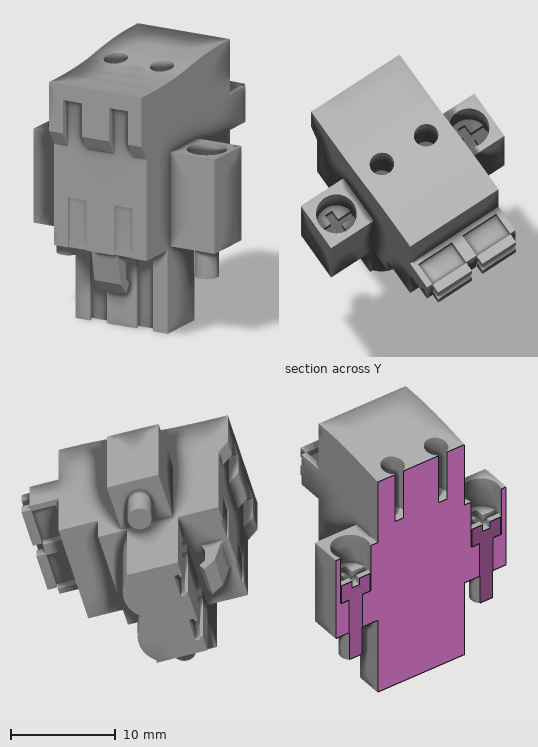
import cadquery as cq
import math


pole_pitch = 5.1
pole_centers = [-pole_pitch / 2, pole_pitch / 2]
body_width = 2 * pole_pitch

total_height = 26.25
body_bottom = 8.35
body_back = 15.85
brow_overhang = 0.95
brow_bottom = 19.97
brow_chamfer_bottom = 18.45
back_step_y = 11.9
back_step_z = 11.34

crown_flat_y = 15.45
slope_back_y = 8.85
slope_front_y = 6.11
slope_angle = math.radians(9.5)
crown_drop = (crown_flat_y - slope_back_y) * math.tan(slope_angle / 2)
slope_drop = (slope_back_y - slope_front_y) * math.tan(slope_angle)
slope_back_z = total_height - crown_drop
slope_front_z = slope_back_z - slope_drop
front_top_z = 24.88

tab_back = 18.7
tab_bottom = 17.2
tab_top = 20.75
button_bay_front = 16.3

brow_slot_width = 2.1
brow_slot_top = 23.3
label_recess_width = 2.02
label_recess_top = 13.33
label_recess_depth = 0.15

wire_hole_diameter = 2.34
wire_hole_y = 7.3
wire_hole_depth = 5.25

plug_front = 4.01
plug_flat_back = 9.05
plug_lobe_rise = 1.05
plug_lobe_width = 4.45
groove_lip_depth = 0.3
groove_depth = 0.8
groove_undercut_width = 2.35
groove_width = 1.84
groove_neck_width = 1.29
groove_neck_bottom = 7.03

latch_width = 2.89
latch_outline = [
    (0.5, body_bottom),
    (0.75, 8.08),
    (1.42, 5.05),
    (2.47, 3.83),
    (2.95, 4.8),
    (2.4, 5.38),
    (2.4, 7.32),
    (2.78, body_bottom),
]

flange_span = 19.97
flange_front = 4.51
flange_depth = 5.12
flange_bottom = 8.6
flange_top = 18.0
screw_x = pole_pitch / 2 + pole_pitch
screw_y = flange_front + flange_depth / 2
screw_bore_diameter = 3.88
screw_head_diameter = 3.78
screw_head_height = 2.1
screw_seat_z = 12.6
screw_shank_diameter = 2.28
screw_tip_z = 5.38
drive_depth = 0.8
drive_slot_width = 0.65
drive_cross_width = 0.85
drive_cross_length = 2.7

button_width = 3.88
button_back = 19.7
button_lip_front = 18.75
button_lip_top = 20.68
button_lip_bottom = 17.45
button_lip_step = 0.6
button_notch_bottom = 18.55
button_notch_top = 19.58


def block(x_center, width, y_min, y_max, z_min, z_max):
    """Box centred on x_center, between the given Y and Z limits."""
    box = cq.Workplane("XY").box(width, y_max - y_min, z_max - z_min, centered=(True, False, False))
    return box.translate((x_center, y_min, z_min))


def cylinder(x, y, diameter, z_min, z_max):
    """Upright cylinder between two heights."""
    return cq.Workplane("XY", origin=(x, y, z_min)).circle(diameter / 2).extrude(z_max - z_min)


def main_body():
    """Side outline with the wavy top, extruded over the body width."""
    outline = (
        cq.Workplane("YZ")
        .moveTo(-brow_overhang, front_top_z)
        .lineTo(0, front_top_z)
        .tangentArcPoint((slope_front_y, slope_front_z), relative=False)
        .lineTo(slope_back_y, slope_back_z)
        .tangentArcPoint((crown_flat_y, total_height), relative=False)
        .lineTo(body_back, total_height)
        .lineTo(body_back, tab_top)
        .lineTo(tab_back, tab_top)
        .lineTo(tab_back, tab_bottom)
        .lineTo(body_back, tab_bottom)
        .lineTo(body_back, back_step_z)
        .lineTo(back_step_y, back_step_z)
        .lineTo(back_step_y, body_bottom)
        .lineTo(0, body_bottom)
        .lineTo(0, brow_chamfer_bottom)
        .lineTo(-brow_overhang, brow_bottom)
        .close()
    )
    return outline.extrude(body_width / 2, both=True)


def plug():
    """Plug below the shoulder, with one rounded lobe per pole along its back."""
    body = block(0, body_width, plug_front, plug_flat_back, 0, body_bottom)
    for x in pole_centers:
        lobe = (
            cq.Workplane("XY")
            .moveTo(x - plug_lobe_width / 2, plug_flat_back)
            .threePointArc((x, plug_flat_back + plug_lobe_rise), (x + plug_lobe_width / 2, plug_flat_back))
            .close()
            .extrude(body_bottom)
        )
        body = body.union(lobe)
    return body


def latch():
    """Hook that hangs from the shoulder in front of the plug."""
    return cq.Workplane("YZ").polyline(latch_outline).close().extrude(latch_width / 2, both=True)


def pole_cutouts(x):
    """Everything removed from the housing at one pole."""
    groove_floor = plug_front + groove_depth
    brow_slot = block(x, brow_slot_width, -brow_overhang, 0, brow_chamfer_bottom, brow_slot_top)
    label_recess = block(x, label_recess_width, 0, label_recess_depth, body_bottom, label_recess_top)
    groove = block(x, groove_width, plug_front, groove_floor, 0, groove_neck_bottom)
    undercut = block(
        x, groove_undercut_width, plug_front + groove_lip_depth, groove_floor, 0, groove_neck_bottom
    )
    groove_neck = block(x, groove_neck_width, plug_front, groove_floor, groove_neck_bottom, body_bottom)
    wire_hole = cylinder(x, wire_hole_y, wire_hole_diameter, front_top_z - wire_hole_depth, total_height)
    button_bay = block(x, button_width, button_bay_front, tab_back, tab_bottom, tab_top)
    return [brow_slot, label_recess, groove, undercut, groove_neck, wire_hole, button_bay]


def make_housing():
    """Body, plug, latch and both flanges as one solid, with all recesses cut."""
    housing = main_body().union(plug()).union(latch())
    flange_back = flange_front + flange_depth
    housing = housing.union(
        block(0, flange_span, flange_front, flange_back, flange_bottom, flange_top)
    )
    for x in pole_centers:
        for cutout in pole_cutouts(x):
            housing = housing.cut(cutout)
    for x in (-screw_x, screw_x):
        housing = housing.cut(cylinder(x, screw_y, screw_bore_diameter, screw_seat_z, flange_top))
        housing = housing.cut(cylinder(x, screw_y, screw_shank_diameter, flange_bottom, screw_seat_z))
    return housing


def make_screw(x):
    """Flange screw with a full-width drive slot crossed by a shorter one."""
    head_top = screw_seat_z + screw_head_height
    drive_floor = head_top - drive_depth
    half_slot = drive_slot_width / 2
    half_cross = drive_cross_length / 2
    shank = cylinder(x, screw_y, screw_shank_diameter, screw_tip_z, screw_seat_z)
    head = cylinder(x, screw_y, screw_head_diameter, screw_seat_z, head_top)
    slot = block(x, screw_head_diameter, screw_y - half_slot, screw_y + half_slot, drive_floor, head_top)
    cross = block(x, drive_cross_width, screw_y - half_cross, screw_y + half_cross, drive_floor, head_top)
    return shank.union(head).cut(slot).cut(cross)


def make_button(x):
    """Push button: stem inside the tab, upper and lower lips and a notch at the back."""
    stem_bottom = button_lip_bottom + button_lip_step
    stem_top = button_lip_top - button_lip_step
    stem = block(x, button_width, button_bay_front, button_lip_front, stem_bottom, stem_top)
    lips = block(x, button_width, button_lip_front, button_back, button_lip_bottom, button_lip_top)
    notch = block(x, button_width, tab_back, button_back, button_notch_bottom, button_notch_top)
    return stem.union(lips).cut(notch)


housing = make_housing()
screws = [make_screw(x) for x in (-screw_x, screw_x)]
buttons = [make_button(x) for x in pole_centers]

bodies = [housing] + screws + buttons

result = cq.Compound.makeCompound([solid for body in bodies for solid in body.solids().vals()])